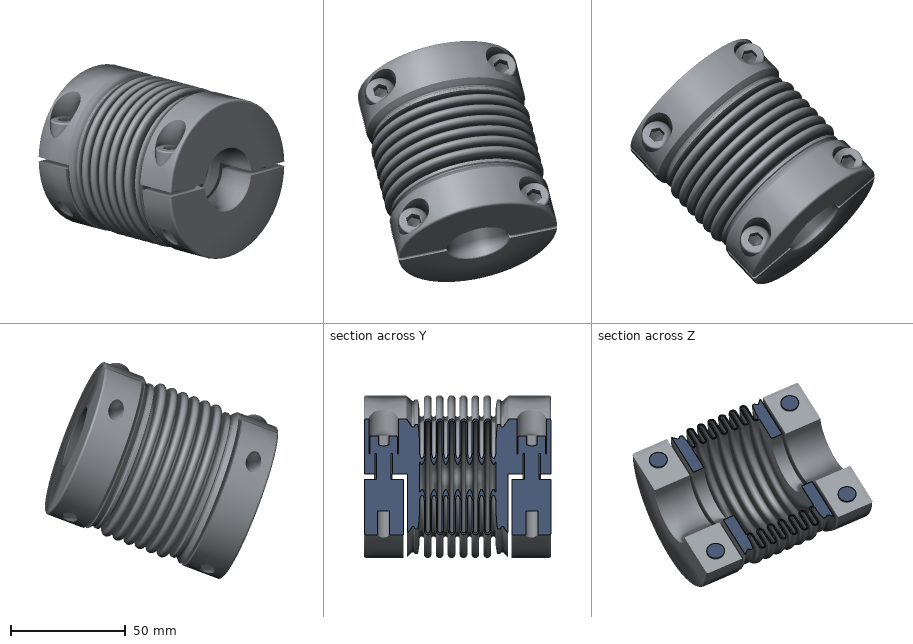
import cadquery as cq
import math


length = 81.62
outer_radius = 35.5
half_length = length / 2

bore_radius = 14.0
bore_chamfer = 0.3
edge_fillet = 1.0
hub_length = 18.5
shoulder_chamfer = 2.5
clamp_half_length = 17.2
clamp_gap = 1.7
slit_height = 2.2

neck_radius = outer_radius - shoulder_chamfer
neck_length = 0.7
neck_cone_length = 0.5
weld_ring_radius = 67.5 / 2
flange_radius = 67.39 / 2
weld_ring_width = 0.65
flange_width = 0.65

crest_count = 6
pitch = 5.2
wall = 0.75
root_radius = 26.1
crest_round = (pitch / 2 + wall) / 2
root_round = (pitch / 2 - wall) / 2
flange_inner_face = (crest_count + 1) * pitch / 2 - crest_round
flange_face_relief = 0.45
flange_corner_radius = 32.5
flange_face_radius = 29.0

screw_from_end = 8.5
screw_y = 27.0
seat_z = 10.0
counterbore_diameter = 13.5
clearance_diameter = 8.6
tapped_diameter = 6.8
shank_diameter = 8.0
shank_length = 25.0
head_diameter = 13.0
head_height = 8.0
head_fillet = 0.8
socket_flats = 6.0
socket_depth = 4.0
socket_corners = socket_flats / math.cos(math.pi / 6)
socket_cone_depth = 1.5


def z_cylinder(x, y, bottom, top, diameter):
    """Upright cylinder centred on (x, y)."""
    return cq.Workplane("XY", origin=(x, y, bottom)).circle(diameter / 2).extrude(top - bottom)


def x_block(start, end, bottom, top):
    """Box between two X stations and two heights, wider than the part in Y."""
    width = 4 * outer_radius
    size = (end - start, width, top - bottom)
    return cq.Workplane("XY").box(*size).translate(((start + end) / 2, 0, (bottom + top) / 2))


def make_hub_body():
    """Turned left hub: clamp cylinder, shoulder, neck, weld ring and end flange."""
    end = -half_length
    shoulder = end + hub_length
    neck_start = shoulder + shoulder_chamfer
    neck_end = neck_start + neck_length
    ring_start = neck_end + neck_cone_length
    flange_start = ring_start + weld_ring_width
    flange_end = flange_start + flange_width
    inner_face = -flange_inner_face
    profile = (
        cq.Workplane("XY")
        .moveTo(end, bore_radius + bore_chamfer)
        .lineTo(end, outer_radius - edge_fillet)
        .radiusArc((end + edge_fillet, outer_radius), edge_fillet)
        .lineTo(shoulder, outer_radius)
        .lineTo(neck_start, neck_radius)
        .lineTo(neck_end, neck_radius)
        .lineTo(ring_start, weld_ring_radius)
        .lineTo(flange_start, weld_ring_radius)
        .lineTo(flange_start, flange_radius)
        .lineTo(flange_end, flange_radius)
        .lineTo(inner_face - flange_face_relief, flange_corner_radius)
        .lineTo(inner_face, flange_face_radius)
        .lineTo(inner_face, bore_radius)
        .lineTo(end + bore_chamfer, bore_radius)
        .close()
    )
    return profile.revolve(360, (0, 0, 0), (1, 0, 0))


def make_screw(x, y):
    """Socket head cap screw pointing down, seated at seat_z."""
    top = seat_z + head_height
    head = z_cylinder(x, y, seat_z, top, head_diameter).faces(">Z").edges().fillet(head_fillet)
    socket_floor = top - socket_depth
    socket = (
        cq.Workplane("XY", origin=(x, y, socket_floor))
        .polygon(6, socket_corners)
        .extrude(socket_depth)
    )
    cone = cq.Workplane(
        cq.Solid.makeCone(
            socket_flats / 2, 0, socket_cone_depth, cq.Vector(x, y, socket_floor), cq.Vector(0, 0, -1)
        )
    )
    shank = z_cylinder(x, y, seat_z - shank_length, seat_z, shank_diameter)
    return head.union(shank).cut(socket).cut(cone)


def make_hub():
    """Left hub with its split clamp and two screws."""
    end = -half_length
    gap_start = end + clamp_half_length
    gap_end = gap_start + clamp_gap
    hub = make_hub_body()
    hub = hub.cut(x_block(end, gap_end, -slit_height / 2, slit_height / 2))
    hub = hub.cut(x_block(gap_start, gap_end, -outer_radius, 0))
    screw_x = end + screw_from_end
    for y in (-screw_y, screw_y):
        hub = hub.cut(z_cylinder(screw_x, y, seat_z, outer_radius, counterbore_diameter))
        hub = hub.cut(z_cylinder(screw_x, y, 0, seat_z, clearance_diameter))
        hub = hub.cut(z_cylinder(screw_x, y, -outer_radius, 0, tapped_diameter))
        hub = hub.union(make_screw(screw_x, y))
    return hub


def trace_waves(path, crest_arc, root_arc, crest_end, root_end, forward):
    """Add one side of the bellows wall, root to root; forward is 1 along +X and -1 along -X."""
    for index in range(crest_count):
        crest_x = forward * (index - (crest_count - 1) / 2) * pitch
        before = crest_x - forward * crest_arc
        after = crest_x + forward * crest_arc
        path = path.lineTo(before, crest_end - crest_arc)
        path = path.threePointArc((crest_x, crest_end), (after, crest_end - crest_arc))
        path = path.lineTo(after, root_end + root_arc)
        root_x = crest_x + forward * pitch / 2
        root_exit = (root_x + forward * root_arc, root_end + root_arc)
        path = path.threePointArc((root_x, root_end), root_exit)
    return path


def make_bellows():
    """Thin corrugated tube whose end roots run into the hub flanges."""
    first_root = -crest_count * pitch / 2
    inner_root = root_radius - wall
    inner_crest = outer_radius - wall
    start = first_root - root_round
    path = cq.Workplane("XY").moveTo(start, root_radius + root_round)
    path = path.threePointArc(
        (first_root, root_radius), (first_root + root_round, root_radius + root_round)
    )
    path = trace_waves(path, crest_round, root_round, outer_radius, root_radius, 1)
    inner_start = -first_root + crest_round
    inner_corner = inner_root + crest_round
    path = path.lineTo(inner_start, inner_corner)
    path = path.threePointArc((-first_root, inner_root), (-first_root - crest_round, inner_corner))
    path = trace_waves(path, root_round, crest_round, inner_crest, inner_root, -1)
    return path.close().revolve(360, (0, 0, 0), (1, 0, 0))


left_hub = make_hub()
right_hub = left_hub.mirror("YZ")
result = left_hub.union(right_hub).union(make_bellows())